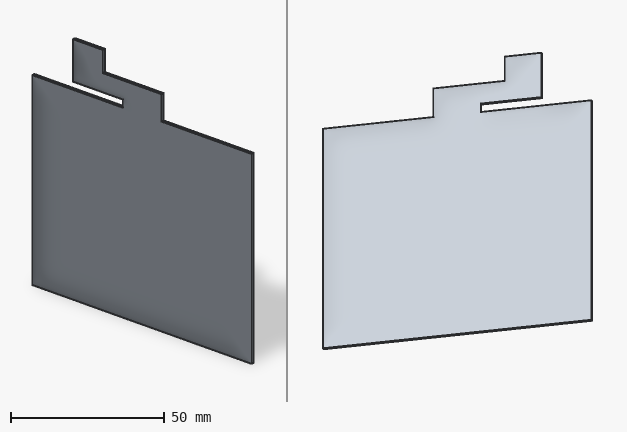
import cadquery as cq

plate_width = 91.0
plate_height = 77.0
thickness = 1.1

total_height = 95.5
tab_left = 16.9
upright_width = 12.4
neck_left = 37.5
neck_right = 53.6
slot_height = 3.0
arm_top = 87.0

upright_right = tab_left + upright_width
arm_bottom = plate_height + slot_height

outline = [
    (0, 0),
    (plate_width, 0),
    (plate_width, plate_height),
    (neck_right, plate_height),
    (neck_right, arm_top),
    (upright_right, arm_top),
    (upright_right, total_height),
    (tab_left, total_height),
    (tab_left, arm_bottom),
    (neck_left, arm_bottom),
    (neck_left, plate_height),
    (0, plate_height),
]

result = cq.Workplane("XZ").polyline(outline).close().extrude(thickness)